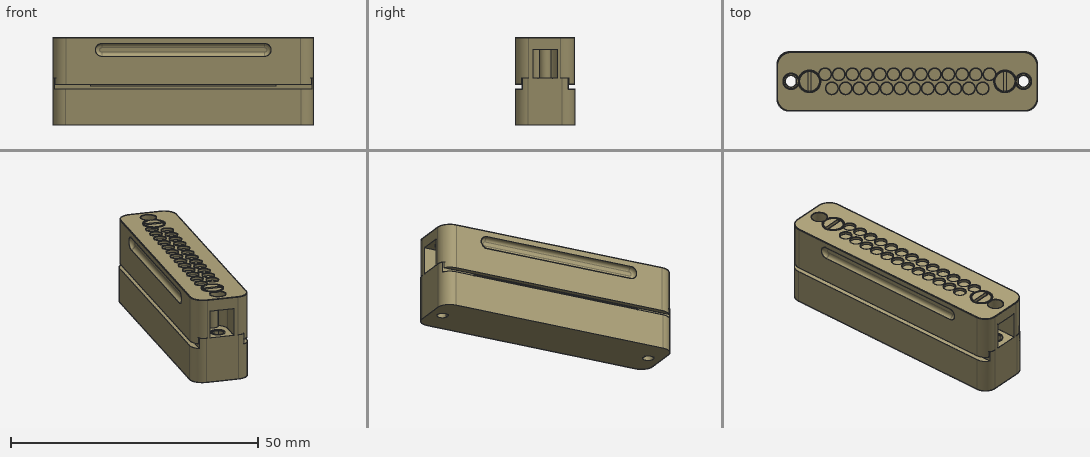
import cadquery as cq

length = 52.7
width = 12.05
height = 17.75
base_front_radius = 2.55
base_back_radius = 2.7
top_chamfer = 0.1

hood_back_inset = 0.1
hood_back_radius = 2.85
hood_front_radius = 2.65
seam_z = 9.55

groove_bottom = 7.3
groove_top = 8.3
neck_half_width = 4.7
skirt_clearance = 0.1
relief_length = 37.4
relief_height = 0.3
relief_depth = 0.55

grip_length = 35.5
grip_height = 2.6
grip_z = 15.25
grip_depth = 0.9
grip_floor_radius = 0.85

rim_chamfer = 0.08

window_width = 5.0
window_top = 15.3
window_arc_x = 22.1
screw_x = 19.75
screw_shank_radius = 1.2
head_radius = 2.0
head_recess_radius = 2.2
head_recess_depth = 0.25
slot_width = 0.7
slot_depth = 0.8

guide_x = 23.5
guide_top_radius = 1.6
guide_base_radius = 1.15
guide_flat_x = 22.45
guide_rim_radius = 1.5
guide_rim_depth = 0.15

back_row_count = 13
front_row_count = back_row_count - 1
back_row_span = 33.25
contact_pitch = back_row_span / (back_row_count - 1)
contact_row_y = 1.4
contact_radius = 1.2
contact_depth = 0.6


def cylinder(x, y, radius, z_low, z_high):
    """Vertical cylinder between two heights."""
    return cq.Workplane("XY", origin=(x, y, z_low)).circle(radius).extrude(z_high - z_low)


def box(x_size, y_size, z_low, z_high, x=0, y=0):
    """Block centred on (x, y) between two heights."""
    return cq.Workplane("XY", origin=(x, y, z_low)).rect(x_size, y_size).extrude(z_high - z_low)


def top_hole(x, y, radius, depth):
    """Blind hole in the top face with a small 45 degree countersink at its rim."""
    hole = cylinder(x, y, radius, height - depth, height)
    mouth = cq.Workplane("XY", origin=(x, y, height)).circle(radius + rim_chamfer)
    return hole.union(mouth.extrude(-rim_chamfer, taper=45))


def make_base():
    """Lower half, with a narrow upper part that carries the hood."""
    base = box(length, width, 0, seam_z)
    base = base.edges("|Z and >Y").fillet(base_back_radius)
    base = base.edges("|Z and <Y").fillet(base_front_radius)
    neck = box(length, 2 * neck_half_width, groove_bottom, seam_z)
    return base.intersect(box(length, width, 0, groove_bottom).union(neck))


def make_hood():
    """Upper half, with skirts that reach down to the groove on the long sides."""
    hood = box(length, width - hood_back_inset, groove_top, height, y=-hood_back_inset / 2)
    hood = hood.edges("|Z and >Y").fillet(hood_back_radius)
    hood = hood.edges("|Z and <Y").fillet(hood_front_radius)
    hood = hood.faces(">Z").chamfer(top_chamfer)
    return hood.cut(box(length, 2 * (neck_half_width + skirt_clearance), groove_top, seam_z))


def make_grip(side):
    """Slot with a rounded floor, cut into the front (-1) or back (+1) side."""
    face_y = width / 2 - hood_back_inset if side > 0 else -width / 2
    floor_selector = "<Y" if side > 0 else ">Y"
    grip = cq.Workplane("XZ", origin=(0, face_y, grip_z)).slot2D(grip_length, grip_height)
    grip = grip.extrude(side * grip_depth)
    return grip.faces(floor_selector).edges().fillet(grip_floor_radius)


def make_relief(side):
    """Shallow recess in the wall of the side groove, just under the skirt."""
    y = side * (neck_half_width - relief_depth / 2)
    return box(relief_length, relief_depth, groove_top - relief_height, groove_top, y=y)


def make_window(side):
    """Pocket from one end, closed by a half-round wall from which the screw shank bulges."""
    straight = length / 2 - window_arc_x
    pocket = box(straight, window_width, seam_z, window_top, x=side * (length - straight) / 2)
    pocket = pocket.union(cylinder(side * window_arc_x, 0, window_width / 2, seam_z, window_top))
    return pocket.cut(cylinder(side * screw_x, 0, screw_shank_radius, seam_z, window_top))


def make_screw_head(side):
    """Clearance ring around the screw head, and its driver slot."""
    x = side * screw_x
    ring = top_hole(x, 0, head_recess_radius, head_recess_depth)
    ring = ring.cut(cylinder(x, 0, head_radius, height - head_recess_depth, height))
    slot = box(slot_width, 2 * head_radius, height - slot_depth, height, x=x)
    return ring.union(slot)


def make_guide_hole(side):
    """Round hole above the window; below it a narrower, rimmed hole with a flat inner side."""
    x = side * guide_x
    upper = top_hole(x, 0, guide_top_radius, height - window_top)
    flat_size = 2 * guide_base_radius
    keep = box(flat_size, flat_size, 0, seam_z, x=side * (guide_flat_x + guide_base_radius))
    lower = cylinder(x, 0, guide_base_radius, 0, seam_z).intersect(keep)
    rim = cylinder(x, 0, guide_rim_radius, seam_z - guide_rim_depth, seam_z)
    return upper.union(lower).union(rim)


def make_contact_row(count, y):
    """Row of blind round holes in the top face, centred on X = 0."""
    first_x = -(count - 1) * contact_pitch / 2
    row = cq.Workplane("XY")
    for index in range(count):
        row = row.add(top_hole(first_x + index * contact_pitch, y, contact_radius, contact_depth))
    return row.combine()


result = make_base().union(make_hood())
for side in (-1, 1):
    result = result.cut(make_grip(side))
    result = result.cut(make_relief(side))
    result = result.cut(make_window(side))
    result = result.cut(make_screw_head(side))
    result = result.cut(make_guide_hole(side))
result = result.cut(make_contact_row(back_row_count, contact_row_y))
result = result.cut(make_contact_row(front_row_count, -contact_row_y))